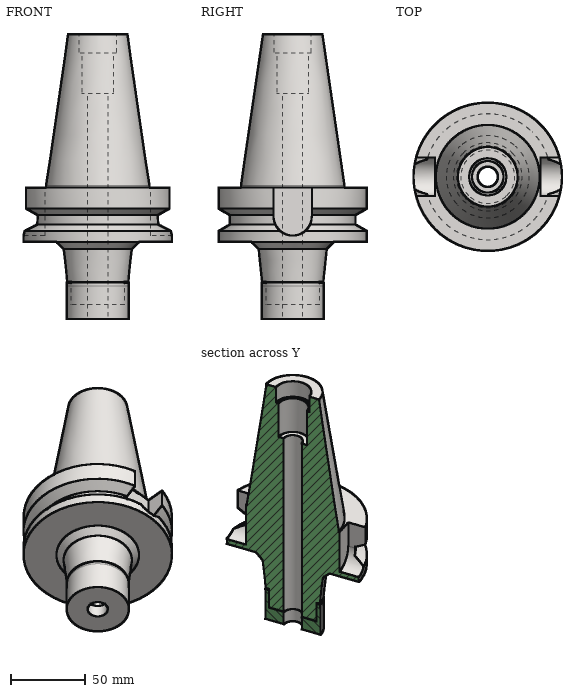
import cadquery as cq
import math


gauge_radius = 69.85 / 2
taper_length = 101.8
taper_ratio = 7 / 24
taper_end_radius = gauge_radius - taper_length * taper_ratio / 2

flange_radius = 50.0
flange_top = -1.5
flange_bottom = -38.0
groove_floor_radius = 42.5
groove_middle = -23.1
groove_mouth_width = 15.0
groove_flank_angle = 30.0
groove_mouth_half = groove_mouth_width / 2
groove_flank_height = (flange_radius - groove_floor_radius) * math.tan(math.radians(groove_flank_angle))
groove_floor_half = groove_mouth_half - groove_flank_height

slot_width = 25.7
slot_floor_distance = 35.4
slot_depth = 32.2

nose_root_radius = 27.8
nose_top_radius = 23.0
nose_top = flange_bottom - (nose_root_radius - nose_top_radius)
nose_bottom_radius = 20.7
nose_bottom = -64.8
spigot_radius = 18.0
spigot_end = -80.0

thread_mouth_radius = 12.5
thread_mouth_depth = 12.6
thread_radius = 10.6
thread_depth = 40.0
coolant_radius = 6.75

nut_radius = 21.0
nut_bottom = -90.0
nut_gap = 0.6
nut_top = nose_bottom - nut_gap
nut_bevel_width = 0.1
nut_bevel_height = 2.2


def cylinder(radius, bottom, top):
    return cq.Workplane("XY").workplane(offset=bottom).circle(radius).extrude(top - bottom)


def holder_blank():
    profile = [
        (0, taper_length),
        (taper_end_radius, taper_length),
        (gauge_radius, 0),
        (gauge_radius, flange_top),
        (flange_radius, flange_top),
        (flange_radius, groove_middle + groove_mouth_half),
        (groove_floor_radius, groove_middle + groove_floor_half),
        (groove_floor_radius, groove_middle - groove_floor_half),
        (flange_radius, groove_middle - groove_mouth_half),
        (flange_radius, flange_bottom),
        (nose_root_radius, flange_bottom),
        (nose_top_radius, nose_top),
        (nose_bottom_radius, nose_bottom),
        (spigot_radius, nose_bottom),
        (spigot_radius, spigot_end),
        (0, spigot_end),
    ]
    return cq.Workplane("YZ").polyline(profile).close().revolve(360, (0, 0), (0, 1))


def drive_slot(side):
    """Radial slot open at the flange top, with a round lower end; side is +1 or -1 along X."""
    half_width = slot_width / 2
    slot_bottom = flange_top - slot_depth
    arc_centre = slot_bottom + half_width
    return (
        cq.Workplane("YZ")
        .workplane(offset=side * slot_floor_distance)
        .moveTo(-half_width, flange_top)
        .lineTo(-half_width, arc_centre)
        .threePointArc((0, slot_bottom), (half_width, arc_centre))
        .lineTo(half_width, flange_top)
        .close()
        .extrude(side * (flange_radius - slot_floor_distance))
    )


def stepped_bore():
    mouth = cylinder(thread_mouth_radius, taper_length - thread_mouth_depth, taper_length)
    thread = cylinder(thread_radius, taper_length - thread_depth, taper_length)
    coolant = cylinder(coolant_radius, spigot_end, taper_length)
    return mouth.union(thread).union(coolant)


def make_holder():
    body = holder_blank()
    for side in (-1, 1):
        body = body.cut(drive_slot(side))
    return body.cut(stepped_bore())


def make_nut():
    """Cap nut whose recess takes the spigot and whose mouth continues the coolant bore."""
    profile = [
        (coolant_radius, nut_bottom),
        (nut_radius, nut_bottom),
        (nut_radius, nut_top - nut_bevel_height),
        (nut_radius - nut_bevel_width, nut_top),
        (spigot_radius, nut_top),
        (spigot_radius, spigot_end),
        (coolant_radius, spigot_end),
    ]
    return cq.Workplane("YZ").polyline(profile).close().revolve(360, (0, 0), (0, 1))


holder = make_holder()
nut = make_nut()

result = cq.Compound.makeCompound([holder.val(), nut.val()])